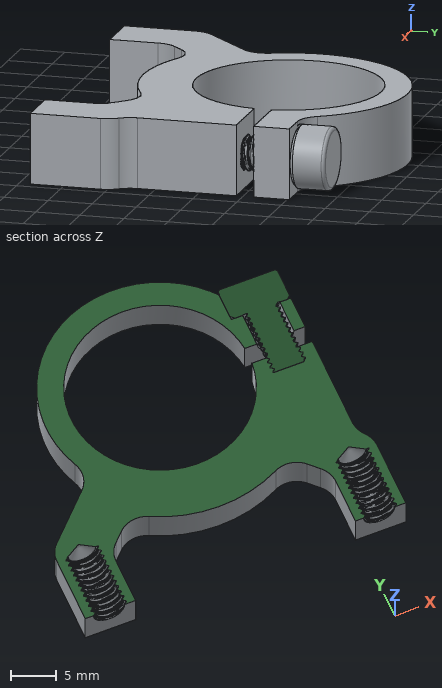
import cadquery as cq
import math

width = 38.0
thickness = 8.0
bore_radius = 10.5
ring_radius = 13.5
saddle_radius = 16.5
foot_y = -23.98
leg_width = 6.0
strut_half_width = leg_width / 2
blend_radius = 3.0

gap = 1.98
ear_top_y = 5.0
ear_right_x = 17.65

thread_radius = 2.0
thread_depth = 0.35
thread_pitch = 0.7
root_radius = thread_radius - thread_depth
root_flat = 0.1
flank_points = 3
thread_length = 8.0

head_radius = 3.55
head_height = 4.0
head_top_round = 0.38
head_under_chamfer = 0.35
screw_x = ear_right_x - head_radius
clearance_radius = 2.15

drill_radius = 1.65
drill_point_angle = 118.0

half_width = width / 2
leg_inner_x = half_width - leg_width
diagonal = math.sqrt(0.5)


def mirrored(point):
    """Reflect a point about the YZ plane."""
    return -point[0], point[1]


def strut_to_ring_blend(radius, side):
    """Ends of the concave arc joining the left strut to a ring of the given radius.

    side is +1 for the upper left flank of the strut and -1 for the lower right flank.
    Returns the tangent point on the ring, then the one on the strut.
    """
    across = strut_half_width + blend_radius
    along = math.sqrt((radius + blend_radius) ** 2 - across ** 2)
    center_x = -diagonal * (along + side * across)
    center_y = -diagonal * (along - side * across)
    shrink = radius / (radius + blend_radius)
    on_ring = (center_x * shrink, center_y * shrink)
    on_strut = (
        center_x + side * diagonal * blend_radius,
        center_y - side * diagonal * blend_radius,
    )
    return on_ring, on_strut


def strut_to_leg_blend(leg_x, side):
    """Ends of the arc turning the left strut into the leg face at leg_x: strut end, then leg end."""
    corner_y = leg_x + side * strut_half_width / diagonal
    tangent_length = blend_radius * math.tan(math.radians(22.5))
    on_strut = (leg_x + diagonal * tangent_length, corner_y + diagonal * tangent_length)
    on_leg = (leg_x, corner_y - tangent_length)
    return on_strut, on_leg


def clamp_profile():
    """Closed outline of the clamp, without the bore and the split."""
    ring_outer, strut_outer_top = strut_to_ring_blend(ring_radius, 1)
    strut_outer_low, leg_outer_top = strut_to_leg_blend(-half_width, 1)
    saddle_end, strut_inner_top = strut_to_ring_blend(saddle_radius, -1)
    strut_inner_low, leg_inner_top = strut_to_leg_blend(-leg_inner_x, -1)

    step = half_width - ear_right_x
    step_height = math.sqrt(step * (4 * blend_radius - step))
    right_leg_top = mirrored(leg_outer_top)
    step_middle = (half_width - step / 2, right_leg_top[1] + step_height / 2)
    step_top = (ear_right_x, right_leg_top[1] + step_height)

    ear_blend_y = ear_top_y + blend_radius
    ear_blend_x = math.sqrt((ring_radius + blend_radius) ** 2 - ear_blend_y ** 2)
    shrink = ring_radius / (ring_radius + blend_radius)
    ring_ear_end = (ear_blend_x * shrink, ear_blend_y * shrink)

    ring_middle = (-ring_radius * diagonal, ring_radius * diagonal)

    return (
        cq.Workplane("XY", origin=(0, 0, -thickness / 2))
        .moveTo(*ring_outer)
        .radiusArc(strut_outer_top, blend_radius)
        .lineTo(*strut_outer_low)
        .radiusArc(leg_outer_top, -blend_radius)
        .lineTo(-half_width, foot_y)
        .lineTo(-leg_inner_x, foot_y)
        .lineTo(*leg_inner_top)
        .radiusArc(strut_inner_low, blend_radius)
        .lineTo(*strut_inner_top)
        .radiusArc(saddle_end, blend_radius)
        .threePointArc((0, -saddle_radius), mirrored(saddle_end))
        .radiusArc(mirrored(strut_inner_top), blend_radius)
        .lineTo(*mirrored(strut_inner_low))
        .radiusArc(mirrored(leg_inner_top), blend_radius)
        .lineTo(leg_inner_x, foot_y)
        .lineTo(half_width, foot_y)
        .lineTo(*right_leg_top)
        .radiusArc(step_middle, -blend_radius)
        .radiusArc(step_top, blend_radius)
        .lineTo(ear_right_x, ear_top_y)
        .lineTo(ear_blend_x, ear_top_y)
        .radiusArc(ring_ear_end, blend_radius)
        .threePointArc(ring_middle, ring_outer)
        .close()
    )


def cylinder_y(x, start_y, end_y, radius):
    """Cylinder parallel to Y, on the mid-plane of the clamp."""
    return cq.Workplane("XZ", origin=(x, end_y, 0)).circle(radius).extrude(end_y - start_y)


def thread_section():
    """Cross-section of the threaded rod: a root arc and two spiral flanks meeting at a sharp crest."""
    flank_angle = math.pi * (1 - root_flat / thread_pitch)

    def flank(turn, fraction):
        """Point on the flank turning by +1 or -1, from the crest at fraction 0 to the root at 1."""
        angle = math.pi + turn * fraction * flank_angle
        radius = thread_radius - fraction * thread_depth
        return radius * math.cos(angle), radius * math.sin(angle)

    return (
        cq.Workplane("XY")
        .parametricCurve(lambda t: flank(1, t), N=flank_points, makeWire=False)
        .threePointArc((root_radius, 0), flank(-1, 1))
        .parametricCurve(lambda t: flank(-1, 1 - t), N=flank_points, makeWire=False)
        .wire()
    )


def make_threaded_rod():
    """Rod along +Y from the origin with a right-hand thread, made by twisting its cross-section."""
    twist = 360 * thread_length / thread_pitch
    return thread_section().twistExtrude(thread_length, twist).rotate((0, 0, 0), (1, 0, 0), -90)


def drill_point(x, y):
    """Cone closing a drilled hole, with its base at y and its tip toward +Y."""
    height = drill_radius / math.tan(math.radians(drill_point_angle / 2))
    cone = cq.Solid.makeCone(drill_radius, 0, height, pnt=cq.Vector(x, y, 0), dir=cq.Vector(0, 1, 0))
    return cq.Workplane(obj=cone)


def make_screw(threaded_rod):
    """Cap screw with its head seated on top of the ear."""
    head = (
        cylinder_y(screw_x, ear_top_y, ear_top_y + head_height, head_radius)
        .faces(">Y").edges().fillet(head_top_round)
        .faces("<Y").edges().chamfer(head_under_chamfer)
    )
    shank = threaded_rod.translate((screw_x, ear_top_y - thread_length, 0))
    return head.union(shank, clean=False)


def make_clamp(threaded_rod):
    """Split clamp with its bore, screw holes and threaded feet."""
    clamp = clamp_profile().extrude(thickness)
    bore = cq.Workplane("XY").circle(bore_radius).extrude(thickness, both=True)
    split = cq.Workplane("XY").box(width, gap, 2 * thickness, centered=(False, True, True))
    clamp = clamp.cut(bore).cut(split)

    clamp = clamp.cut(cylinder_y(screw_x, ear_top_y, ring_radius, head_radius))
    clamp = clamp.cut(cylinder_y(screw_x, 0, ear_top_y, clearance_radius))

    clamp = clamp.cut(threaded_rod.translate((screw_x, ear_top_y - thread_length, 0)), clean=False)

    for side in (-1, 1):
        hole_x = side * (half_width - leg_width / 2)
        clamp = clamp.cut(drill_point(hole_x, foot_y + thread_length), clean=False)
        clamp = clamp.cut(threaded_rod.translate((hole_x, foot_y, 0)), clean=False)
    return clamp


threaded_rod = make_threaded_rod()
clamp = make_clamp(threaded_rod)
screw = make_screw(threaded_rod)
result = cq.Compound.makeCompound([clamp.val(), screw.val()])